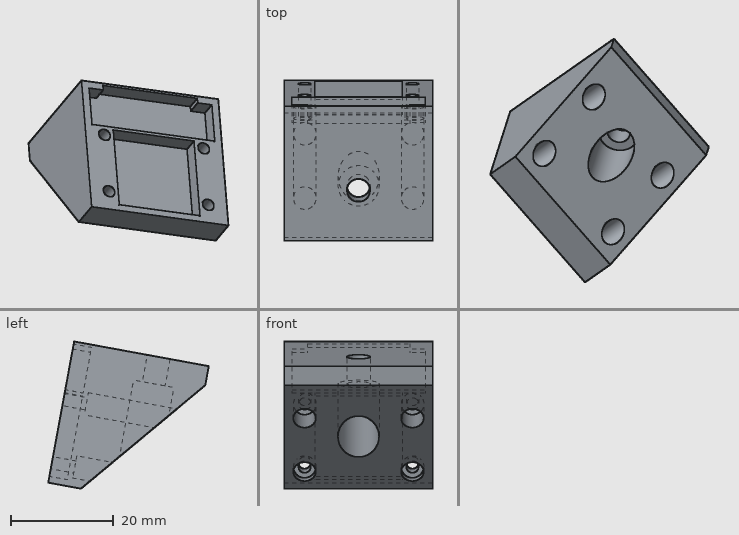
import cadquery as cq

WIDTH = 29.0
TOP_LENGTH = 26.7
BACK_HEIGHT = 28.0
FOOT_LENGTH = 6.5
NOSE_HEIGHT = 3.8
TILT = 10.4

MOUNT_SETBACK = 16.7
MOUNT_DIAMETER = 4.5
MOUNT_BORE_DIAMETER = 8.0
MOUNT_LEDGE = 5.3

SCREW_SPACING_X = 21.0
SCREW_SPACING_Z = 12.5
LOWER_SCREW_HEIGHT = 4.0
SCREW_DIAMETER = 2.4
SCREW_BORE_DIAMETER = 4.4
SCREW_LEDGE = 4.5

POCKET_DEPTH = 3.5
LOWER_POCKET_WIDTH = 17.1
LOWER_POCKET_MARGIN = 1.3
POCKET_BAR = 0.6
UPPER_POCKET_DROP = 9.55
UPPER_POCKET_WIDTH = 26.0
UPPER_POCKET_MARGIN = 1.5
NOTCH_WIDTH = 20.0
NOTCH_MARGIN = 0.5


def make_block():
    """Wedge with its back face on Y = 0 and its top face on Z = 0."""
    profile = [
        (0, 0),
        (-TOP_LENGTH, 0),
        (-TOP_LENGTH, -NOSE_HEIGHT),
        (-FOOT_LENGTH, -BACK_HEIGHT),
        (0, -BACK_HEIGHT),
    ]
    return cq.Workplane("YZ").polyline(profile).close().extrude(WIDTH / 2, both=True)


def mount_hole():
    """Narrow hole in the top face that widens below the ledge."""
    at_axis = cq.Workplane("XY").center(0, -MOUNT_SETBACK)
    hole = at_axis.circle(MOUNT_DIAMETER / 2).extrude(-BACK_HEIGHT)
    bore = at_axis.workplane(offset=-MOUNT_LEDGE).circle(MOUNT_BORE_DIAMETER / 2).extrude(-BACK_HEIGHT)
    return hole.union(bore)


def screw_hole(x, z):
    """Narrow hole in the back face that widens toward the sloped face."""
    at_axis = cq.Workplane("XZ").center(x, z)
    hole = at_axis.circle(SCREW_DIAMETER / 2).extrude(TOP_LENGTH)
    bore = at_axis.workplane(offset=SCREW_LEDGE).circle(SCREW_BORE_DIAMETER / 2).extrude(TOP_LENGTH)
    return hole.union(bore)


def back_pocket(width, bottom, top):
    """Rectangular pocket sunk into the back face, centred across the width."""
    return (
        cq.Workplane("XY")
        .box(width, POCKET_DEPTH, top - bottom, centered=(True, False, False))
        .translate((0, -POCKET_DEPTH, bottom))
    )


block = make_block().cut(mount_hole())

lower_screw_z = LOWER_SCREW_HEIGHT - BACK_HEIGHT
for screw_x in (-SCREW_SPACING_X / 2, SCREW_SPACING_X / 2):
    for screw_z in (lower_screw_z, lower_screw_z + SCREW_SPACING_Z):
        block = block.cut(screw_hole(screw_x, screw_z))

lower_pocket_bottom = LOWER_POCKET_MARGIN - BACK_HEIGHT
lower_pocket_top = -UPPER_POCKET_DROP - POCKET_BAR
block = block.cut(back_pocket(LOWER_POCKET_WIDTH, lower_pocket_bottom, lower_pocket_top))
block = block.cut(back_pocket(UPPER_POCKET_WIDTH, -UPPER_POCKET_DROP, -UPPER_POCKET_MARGIN))
block = block.cut(back_pocket(NOTCH_WIDTH, -UPPER_POCKET_DROP, -NOTCH_MARGIN))

result = block.rotate((0, 0, 0), (1, 0, 0), TILT)